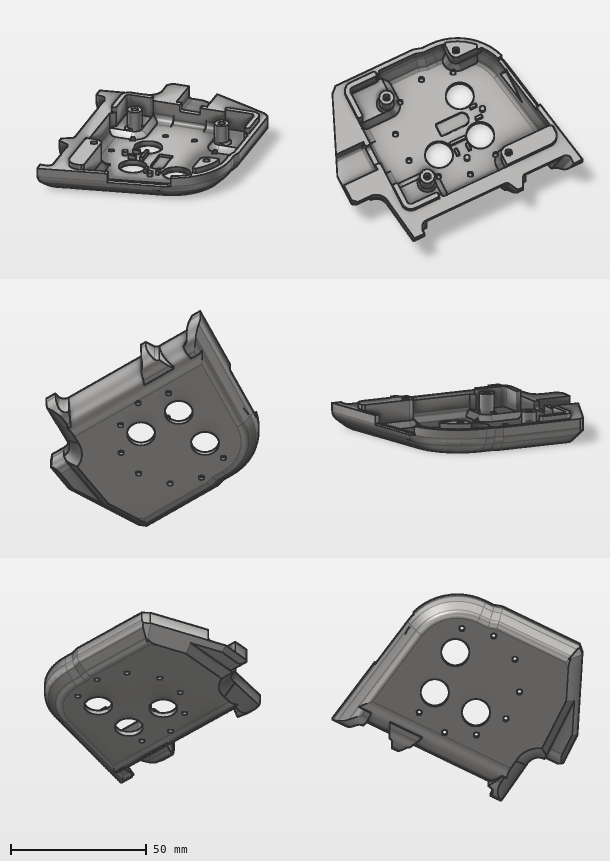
import cadquery as cq
import math

RIM_Z = 9.95
PAD_TOP_Z = 12.0
FLOOR_Z = 2.0
SHELF_Z = 4.2
CLIP_TOP_Z = 3.5

LENGTH_Y = 83.7
RIGHT_X = 66.0
LOWER_RIGHT_X = 65.1
JOG_LOW_Y = 34.2
JOG_HIGH_Y = 37.4
CORNER_RADIUS = 22.9
BOTTOM_SLOPE = math.radians(10)
SLANT_RIGHT = (63.8, 71.7)
SLANT_TOP_X = 35.6
RIGHT_CORNER_Y = 69.45
EDGE_CHAMFER = 5
EDGE_ROUND = 4.0

WALL_X = 4.35
EAR_EDGE_RADIUS = 7.95
EAR_ROOT_X = 10
REAR_EAR_Y = 65.2
REAR_EAR_RADIUS = 3.0
MIDDLE_EAR_TIP_FRONT_Y = 24.5
MIDDLE_EAR_TIP_REAR_Y = 26.7
MIDDLE_EAR_BEND = (4.0, 28.8)
MIDDLE_EAR_REAR_Y = 29.6
MIDDLE_EAR_FRONT_Y = 21.3
MIDDLE_EAR_ARC_END = (3.35, 23.0)
MIDDLE_EAR_RADIUS = 2.0
MIDDLE_EAR_SPREAD = 2.5
FRONT_EAR_Y = 3.6
FRONT_EAR_RADIUS = 2.1
FRONT_EAR_LEAN = 5.35

TAB_X = 21.9
TAB_CORNER = 1.75
TAB_BOTTOM_Z = 3.0
TAB_RISE_Y = 73.6
TAB_INNER_RADIUS = 4.85
TAB_ROUND = 5
SHOULDER_Y = 69.4
SHOULDER_SLOPE = math.radians(8)
SHOULDER_CHAMFER = 4.7

AXIS_X = 36
CHANNEL_WIDTH = 12.0
CHANNEL_END_Y = 69.8
CHANNEL_Z = 5
CHANNEL_ROUND = 1.0
NOTCH_WIDTH = 7.95
NOTCH_Z = 7.1
NOTCH_ROUND = 0.8

WALL = 1.8
POCKET_LEFT_X = 9.9
POCKET_RIGHT_X = RIGHT_X - WALL
POCKET_TOP_Y = 67.8
POCKET_CHAMFER = 3.6
POCKET_SLOPE_ROUND = 2.2
POCKET_ROUND = 3.1
RECESS_WIDTH = 12.9
RECESS_ROUND = 1.6
SLOPE_RELIEF = ((27.6, 44.85), (9.4, 15.1), (3.7, 6.7))

RIM_CUT_LEFT_X = 26.0
RIM_CUT_RIGHT_X = 49.4
RIM_CUT_Z = 6.9
RIM_CUT_SLOPE = 0.6

POST_D = 5.4
POST_DX = 17.1
POST_Y = 54.7
POST_FOOT = 0.9
SCREW_D = 2.5
SCREW_DEPTH = 7.5
SKIRT_RUN = 2.35
PAD_WIDTH = 2.0
PAD_END_Y = 54.0
PAD_OUTER_RADIUS = 3.5
PAD_END_RADIUS = 0.9
PAD_TIP_RADIUS = 0.5
PAD_WEB_LENGTH = 1.7
PAD_SCREW_Y = 23.6
PAD_REAR_Y = PAD_SCREW_Y + POST_D / 2
LEFT_SCREW_X = 14.0
LEFT_PAD_Y = 4.3
LEFT_PAD_RADIUS = 4.0
RIGHT_SCREW_X = 58.15
RIGHT_PAD_LEFT_Y = 16.1
RIGHT_PAD_REAR_X = 62.1
RIGHT_PAD_ARC_START = (62.5, 25.8)
RIGHT_PAD_ARC_END = (56.7, 15.7)

CLIP_TAB_LENGTH = 2.6
CLIP_TAB_WIDTH = 1.1
CLIP_TAB_SPACING = 4.8
SIDE_CLIP_X = 21.4
SIDE_CLIP_Y = 37.1
SIDE_CLIP_TAB_START = 2.35
FRONT_CLIP_TAB_START = 1.3
STOP_BAR = ((28.4, 29.45), (33.9, 40.5), (FLOOR_Z, CLIP_TOP_Z))

SMALL_D = 2.0
SMALL_HOLES = [(5.7, 56.65), (16.1, 49.6), (20.5, 38.65), (17.8, 26.85)]
WINDOW_D = 10.4
WINDOW_DX = 8.5
WINDOW_REAR_Y = 45.7
WINDOW_FRONT_Y = 28.7
SLOT_WIDTH = 5.2
SLOT_FRONT_Y = 29.5
SLOT_REAR_Y = 41.75
SLOT_DEPTH = 1.0
SLOT_FRONT_RADIUS = 2.35
SLOT_REAR_RADIUS = 0.6

REACH = 2 * LENGTH_Y
MARGIN = 0.8
LEVEL_TOLERANCE = 0.1


def slab(points, low_z, high_z):
    """Prism on a polygon in plan."""
    return cq.Workplane("XY", origin=(0, 0, low_z)).polyline(points).close().extrude(high_z - low_z)


def block(x_range, y_range, z_range):
    """Box given by its limits along each axis."""
    lows, highs = zip(x_range, y_range, z_range)
    sizes = [high - low for low, high in zip(lows, highs)]
    return cq.Workplane("XY").box(*sizes, centered=False).translate(lows)


def pin(x, y, diameter, low_z, high_z):
    return cq.Workplane("XY", origin=(x, y, low_z)).circle(diameter / 2).extrude(high_z - low_z)


def plan_outline(inset, top_points):
    """Closed outline: sloping lower edge, big corner, stepped right side, then `top_points`."""
    radius = CORNER_RADIUS - inset
    center_x = LOWER_RIGHT_X - CORNER_RADIUS
    tangent_x = center_x + radius * math.sin(BOTTOM_SLOPE)
    center_y = (
        (center_x + CORNER_RADIUS * math.sin(BOTTOM_SLOPE)) * math.tan(BOTTOM_SLOPE)
        + CORNER_RADIUS * math.cos(BOTTOM_SLOPE)
    )
    tangent_y = center_y - radius * math.cos(BOTTOM_SLOPE)
    middle = (BOTTOM_SLOPE - math.pi / 2) / 2
    outline = (
        cq.Workplane("XY")
        .moveTo(0, tangent_y - tangent_x * math.tan(BOTTOM_SLOPE))
        .lineTo(tangent_x, tangent_y)
        .threePointArc(
            (center_x + radius * math.cos(middle), center_y + radius * math.sin(middle)),
            (center_x + radius, center_y),
        )
        .lineTo(LOWER_RIGHT_X - inset, JOG_LOW_Y)
        .lineTo(RIGHT_X - inset, JOG_HIGH_Y)
    )
    for point in top_points:
        outline = outline.lineTo(*point)
    return outline.close()


def left_profile(start_x, radius):
    """Everything right of a wall whose lower edge is rounded."""
    return (
        cq.Workplane("XZ")
        .moveTo(start_x, PAD_TOP_Z)
        .lineTo(start_x, radius)
        .radiusArc((start_x + radius, 0), -radius)
        .lineTo(RIGHT_X, 0)
        .lineTo(RIGHT_X, PAD_TOP_Z)
        .close()
        .extrude(-REACH)
    )


def low_edges(solid, max_y, max_z):
    """Level edges low on a solid, apart from those along its left side."""
    low_box = cq.selectors.BoxSelector(
        (MARGIN, -MARGIN, -MARGIN), (RIGHT_X + MARGIN, max_y, max_z + LEVEL_TOLERANCE)
    )
    level = [edge for edge in solid.edges(low_box).vals() if edge.BoundingBox().zlen < LEVEL_TOLERANCE]
    return solid.newObject(level)


def make_envelope():
    """Outer block with chamfered and rounded lower edges, before its left side is shaped."""
    top_points = [
        (RIGHT_X, RIGHT_CORNER_Y),
        SLANT_RIGHT,
        (SLANT_TOP_X, LENGTH_Y),
        (0, LENGTH_Y),
    ]
    envelope = plan_outline(0, top_points).extrude(RIM_Z)
    envelope = low_edges(envelope, REACH, 0).chamfer(EDGE_CHAMFER)
    return low_edges(envelope, RIGHT_CORNER_Y + MARGIN, EDGE_CHAMFER).fillet(EDGE_ROUND)


def cut_left_shoulder(body):
    """Remove the corner left of the rear tab, behind a sloping shoulder."""
    slope = math.tan(SHOULDER_SLOPE)
    center_x = TAB_X - TAB_INNER_RADIUS
    center_y = SHOULDER_Y + center_x * slope + TAB_INNER_RADIUS / math.cos(SHOULDER_SLOPE)
    middle = (SHOULDER_SLOPE - math.pi / 2) / 2

    def on_arc(angle):
        return (
            center_x + TAB_INNER_RADIUS * math.cos(angle),
            center_y + TAB_INNER_RADIUS * math.sin(angle),
        )

    corner = (
        cq.Workplane("XY")
        .moveTo(-MARGIN, SHOULDER_Y - MARGIN * slope)
        .lineTo(*on_arc(2 * middle))
        .threePointArc(on_arc(middle), on_arc(0))
        .lineTo(TAB_X, LENGTH_Y - TAB_CORNER)
        .lineTo(TAB_X + TAB_CORNER, LENGTH_Y)
        .lineTo(TAB_X, LENGTH_Y + MARGIN)
        .lineTo(-MARGIN, LENGTH_Y + MARGIN)
        .close()
        .extrude(RIM_Z)
    )
    shoulder_chamfer = (
        cq.Workplane("YZ", origin=(-EDGE_CHAMFER, 0, 0))
        .polyline([(-SHOULDER_CHAMFER, 0), (0, SHOULDER_CHAMFER), (REACH, SHOULDER_CHAMFER), (REACH, 0)])
        .close()
        .extrude(EDGE_CHAMFER + center_x)
        .rotate((0, 0, 0), (0, 0, 1), math.degrees(SHOULDER_SLOPE))
        .translate((0, SHOULDER_Y, 0))
    )
    bend_chamfer = cq.Workplane(
        cq.Solid.makeCone(
            TAB_INNER_RADIUS + SHOULDER_CHAMFER,
            TAB_INNER_RADIUS,
            SHOULDER_CHAMFER,
            pnt=cq.Vector(center_x, center_y, 0),
        )
    )
    outside_tab = block((0, RIGHT_X), (center_y, REACH), (TAB_BOTTOM_Z, RIM_Z)).cut(
        left_profile(TAB_X, TAB_ROUND).translate((0, 0, TAB_BOTTOM_Z))
    )
    return body.cut(corner).cut(shoulder_chamfer).cut(bend_chamfer).cut(outside_tab)


def cut_under_tab(body):
    """Raise the underside below the rear tab, with a 45 degree step."""
    under = (
        cq.Workplane("YZ")
        .polyline([
            (TAB_RISE_Y, 0),
            (TAB_RISE_Y + TAB_BOTTOM_Z, TAB_BOTTOM_Z),
            (REACH, TAB_BOTTOM_Z),
            (REACH, 0),
        ])
        .close()
        .extrude(REACH)
    )
    return body.cut(under)


def make_ears():
    """Full-height blocks for the three ears on the left wall; the front one leans along Y."""
    rear = (
        cq.Workplane("XY")
        .moveTo(0, REAR_EAR_Y)
        .lineTo(WALL_X - REAR_EAR_RADIUS, REAR_EAR_Y)
        .radiusArc((WALL_X, REAR_EAR_Y - REAR_EAR_RADIUS), REAR_EAR_RADIUS)
        .lineTo(EAR_ROOT_X, REAR_EAR_Y)
        .lineTo(EAR_ROOT_X, LENGTH_Y)
        .lineTo(0, LENGTH_Y)
        .close()
        .extrude(RIM_Z)
    )
    middle = (
        cq.Workplane("XY")
        .moveTo(0, MIDDLE_EAR_TIP_FRONT_Y)
        .lineTo(0, MIDDLE_EAR_TIP_REAR_Y)
        .lineTo(*MIDDLE_EAR_BEND)
        .lineTo(WALL_X, MIDDLE_EAR_REAR_Y)
        .lineTo(EAR_ROOT_X, MIDDLE_EAR_REAR_Y + MIDDLE_EAR_SPREAD)
        .lineTo(EAR_ROOT_X, MIDDLE_EAR_FRONT_Y - MIDDLE_EAR_SPREAD)
        .lineTo(WALL_X, MIDDLE_EAR_FRONT_Y)
        .radiusArc(MIDDLE_EAR_ARC_END, -MIDDLE_EAR_RADIUS)
        .close()
        .extrude(RIM_Z)
    )
    front_plan = (
        cq.Workplane("XY", origin=(0, FRONT_EAR_LEAN, 0))
        .moveTo(0, FRONT_EAR_Y)
        .lineTo(WALL_X - FRONT_EAR_RADIUS, FRONT_EAR_Y)
        .radiusArc((WALL_X, FRONT_EAR_Y + FRONT_EAR_RADIUS), -FRONT_EAR_RADIUS)
        .lineTo(EAR_ROOT_X, FRONT_EAR_Y + FRONT_EAR_RADIUS)
        .lineTo(EAR_ROOT_X, -LENGTH_Y)
        .lineTo(0, -LENGTH_Y)
        .close()
    )
    lean = cq.Vector(0, -FRONT_EAR_LEAN, RIM_Z)
    front = cq.Workplane(cq.Solid.extrudeLinear(front_plan.wires().val(), [], lean))
    return rear.union(middle).union(front)


def make_outer_body():
    envelope = make_envelope()
    core = envelope.intersect(left_profile(WALL_X, RIM_Z))
    ears = envelope.intersect(left_profile(0, EAR_EDGE_RADIUS)).intersect(make_ears())
    return cut_under_tab(cut_left_shoulder(core.union(ears)))


def make_pocket():
    """Open space inside the rim, before shelves and pads fill parts of it."""
    top_points = [(POCKET_RIGHT_X, LENGTH_Y), (0, LENGTH_Y)]
    sloped = plan_outline(WALL, top_points).extrude(PAD_TOP_Z).translate((0, 0, FLOOR_Z))
    sloped = low_edges(sloped, POCKET_TOP_Y, FLOOR_Z).chamfer(POCKET_CHAMFER)
    sloped = low_edges(sloped, POCKET_TOP_Y, FLOOR_Z + POCKET_CHAMFER).fillet(POCKET_SLOPE_ROUND)
    rounded = block((POCKET_LEFT_X, POCKET_RIGHT_X), (0, POCKET_TOP_Y), (FLOOR_Z, PAD_TOP_Z))
    rounded = rounded.edges("|Z and >Y").fillet(PAD_OUTER_RADIUS)
    rounded = rounded.edges("<Z").edges("<X or >Y").fillet(POCKET_ROUND)
    recess = block(
        (AXIS_X - RECESS_WIDTH / 2, AXIS_X + RECESS_WIDTH / 2),
        (POCKET_TOP_Y - 2 * POCKET_ROUND, POCKET_TOP_Y),
        (FLOOR_Z, SHELF_Z + POCKET_ROUND),
    )
    recess = recess.edges("<Z and >Y").fillet(RECESS_ROUND)
    return sloped.intersect(rounded).union(recess)


def corner_island(screw_x, screw_y, side_x, side_y, top_z):
    """Raised corner area rounded about a screw, with a sloping skirt down to the floor.

    It reaches from the screw toward side_x and side_y.
    """
    radius = POST_D / 2
    sign_x = math.copysign(1, side_x - screw_x)
    sign_y = math.copysign(1, side_y - screw_y)
    edge_x = screw_x - sign_x * radius
    edge_y = screw_y - sign_y * radius
    diagonal = radius * math.sqrt(0.5)
    plan = (
        cq.Workplane("XY", origin=(0, 0, SHELF_Z))
        .moveTo(edge_x, side_y)
        .lineTo(edge_x, screw_y)
        .threePointArc((screw_x - sign_x * diagonal, screw_y - sign_y * diagonal), (screw_x, edge_y))
        .lineTo(side_x, edge_y)
        .lineTo(side_x, side_y)
        .close()
    )
    skirt_angle = math.degrees(math.atan(SKIRT_RUN / (SHELF_Z - FLOOR_Z)))
    island = plan.extrude(FLOOR_Z - SHELF_Z, taper=-skirt_angle)
    if top_z > SHELF_Z:
        island = island.faces(">Z").wires().toPending().extrude(top_z - SHELF_Z)
    return island


def corner_pad(outer_x, end_x):
    """Rounded L-shaped wall in a rear corner, from the shelf to above the rim."""
    sign = math.copysign(1, end_x - outer_x)
    inner_x = outer_x + sign * PAD_WIDTH
    inner_y = POCKET_TOP_Y - PAD_WIDTH
    inner_bend = PAD_OUTER_RADIUS - PAD_WIDTH
    pad = (
        cq.Workplane("XY", origin=(0, 0, SHELF_Z))
        .moveTo(outer_x, PAD_END_Y)
        .lineTo(outer_x, POCKET_TOP_Y - PAD_OUTER_RADIUS)
        .radiusArc((outer_x + sign * PAD_OUTER_RADIUS, POCKET_TOP_Y), sign * PAD_OUTER_RADIUS)
        .lineTo(end_x, POCKET_TOP_Y)
        .lineTo(end_x, inner_y)
        .lineTo(inner_x + sign * inner_bend, inner_y)
        .radiusArc((inner_x, inner_y - inner_bend), -sign * inner_bend)
        .lineTo(inner_x, PAD_END_Y)
        .close()
        .extrude(PAD_TOP_Z - SHELF_Z)
    )
    free_end = ">X" if sign > 0 else "<X"
    pad = pad.edges("|Z and <Y").fillet(PAD_END_RADIUS)
    return pad.edges(f"|Z and {free_end}").fillet(PAD_TIP_RADIUS)


def front_left_pad():
    right_x = LEFT_SCREW_X + POST_D / 2
    return (
        cq.Workplane("XY", origin=(0, 0, SHELF_Z))
        .moveTo(POCKET_LEFT_X, LEFT_PAD_Y + LEFT_PAD_RADIUS)
        .lineTo(POCKET_LEFT_X, PAD_REAR_Y)
        .lineTo(LEFT_SCREW_X, PAD_REAR_Y)
        .radiusArc((right_x, PAD_SCREW_Y), POST_D / 2)
        .lineTo(right_x, LEFT_PAD_Y + PAD_END_RADIUS)
        .lineTo(right_x - PAD_END_RADIUS, LEFT_PAD_Y)
        .lineTo(POCKET_LEFT_X + LEFT_PAD_RADIUS, LEFT_PAD_Y)
        .radiusArc((POCKET_LEFT_X, LEFT_PAD_Y + LEFT_PAD_RADIUS), LEFT_PAD_RADIUS)
        .close()
        .extrude(PAD_TOP_Z - SHELF_Z)
    )


def front_right_pad():
    left_x = RIGHT_SCREW_X - POST_D / 2
    return (
        cq.Workplane("XY", origin=(0, 0, SHELF_Z))
        .moveTo(left_x, RIGHT_PAD_LEFT_Y)
        .lineTo(left_x, PAD_SCREW_Y)
        .radiusArc((RIGHT_SCREW_X, PAD_REAR_Y), POST_D / 2)
        .lineTo(RIGHT_PAD_REAR_X, PAD_REAR_Y)
        .lineTo(*RIGHT_PAD_ARC_START)
        .radiusArc(RIGHT_PAD_ARC_END, CORNER_RADIUS - WALL)
        .close()
        .extrude(PAD_TOP_Z - SHELF_Z)
    )


def post(x, side_x):
    """Screw post whose conical foot stays on the shelf toward side_x."""
    foot = cq.Workplane(
        cq.Solid.makeCone(
            POST_D / 2 + POST_FOOT, POST_D / 2, POST_FOOT, pnt=cq.Vector(x, POST_Y, SHELF_Z)
        )
    )
    foot = foot.intersect(corner_island(x, POST_Y, side_x, LENGTH_Y, RIM_Z))
    return pin(x, POST_Y, POST_D, SHELF_Z, PAD_TOP_Z).union(foot)


def pad_end_web(outer_x, sign):
    """Triangular web that carries the end of a corner pad into the side wall."""
    return slab(
        [
            (outer_x, PAD_END_Y - PAD_WEB_LENGTH),
            (outer_x + sign * PAD_WIDTH, PAD_END_Y),
            (outer_x, PAD_END_Y),
        ],
        SHELF_Z,
        RIM_Z,
    )


def cut_rear_notch(body):
    """Channel along the rear tab and a narrower notch from it into the pocket."""
    channel = block(
        (AXIS_X - CHANNEL_WIDTH / 2, AXIS_X + CHANNEL_WIDTH / 2),
        (CHANNEL_END_Y, LENGTH_Y + CHANNEL_WIDTH),
        (CHANNEL_Z, PAD_TOP_Z),
    )
    channel = channel.edges("<Z").edges("|Y or <Y").fillet(CHANNEL_ROUND)
    notch = block(
        (AXIS_X - NOTCH_WIDTH / 2, AXIS_X + NOTCH_WIDTH / 2),
        (POCKET_TOP_Y - WALL, CHANNEL_END_Y + WALL),
        (NOTCH_Z, PAD_TOP_Z),
    )
    notch = notch.edges("<Z and |Y").fillet(NOTCH_ROUND)
    return body.cut(channel).cut(notch)


def cut_front_rim(body):
    """Lowered stretch of the front rim, sloping down along its outer edge."""
    start = RIM_CUT_LEFT_X / math.cos(BOTTOM_SLOPE)
    end = RIM_CUT_RIGHT_X / math.cos(BOTTOM_SLOPE)
    lowered = (
        cq.Workplane("YZ", origin=(start, 0, 0))
        .polyline([
            (0, RIM_CUT_Z - RIM_CUT_SLOPE),
            (RIM_CUT_SLOPE, RIM_CUT_Z),
            (2 * WALL, RIM_CUT_Z),
            (2 * WALL, PAD_TOP_Z),
            (-WALL, PAD_TOP_Z),
            (-WALL, RIM_CUT_Z - RIM_CUT_SLOPE),
        ])
        .close()
        .extrude(end - start)
        .rotate((0, 0, 0), (0, 0, 1), math.degrees(BOTTOM_SLOPE))
    )
    return body.cut(lowered)


def clip(pin_x, pin_y, tab_start, angle):
    """Locating pin and two tabs beyond it; `angle` is the direction from pin to tabs."""
    tab_x = tab_start + CLIP_TAB_LENGTH / 2
    tabs = (
        cq.Workplane("XY", origin=(0, 0, FLOOR_Z))
        .pushPoints([(tab_x, CLIP_TAB_SPACING / 2), (tab_x, -CLIP_TAB_SPACING / 2)])
        .rect(CLIP_TAB_LENGTH, CLIP_TAB_WIDTH)
        .extrude(CLIP_TOP_Z - FLOOR_Z)
    )
    parts = tabs.union(pin(0, 0, SMALL_D, FLOOR_Z, CLIP_TOP_Z))
    return parts.rotate((0, 0, 0), (0, 0, 1), angle).translate((pin_x, pin_y, 0))


def floor_openings():
    """Three large windows, the mirrored small holes and a shallow slot."""
    openings = pin(AXIS_X - WINDOW_DX, WINDOW_REAR_Y, WINDOW_D, 0, FLOOR_Z)
    for side in (-1, 1):
        openings = openings.union(pin(AXIS_X + side * WINDOW_DX, WINDOW_FRONT_Y, WINDOW_D, 0, FLOOR_Z))
        for offset_x, y in SMALL_HOLES:
            openings = openings.union(pin(AXIS_X + side * offset_x, y, SMALL_D, 0, RIM_Z))
    slot = (
        block(
            (AXIS_X - SLOT_WIDTH / 2, AXIS_X + SLOT_WIDTH / 2),
            (SLOT_FRONT_Y, SLOT_REAR_Y),
            (FLOOR_Z - SLOT_DEPTH, FLOOR_Z),
        )
        .edges("|Z and <Y").fillet(SLOT_FRONT_RADIUS)
        .edges("|Z and >Y").fillet(SLOT_REAR_RADIUS)
    )
    return openings.union(slot)


pocket = make_pocket()
islands = [
    corner_island(AXIS_X - POST_DX, POST_Y, 0, LENGTH_Y, SHELF_Z),
    corner_island(AXIS_X + POST_DX, POST_Y, RIGHT_X, LENGTH_Y, SHELF_Z),
    corner_island(LEFT_SCREW_X, PAD_SCREW_Y, 0, 0, RIM_Z),
    corner_island(RIGHT_SCREW_X, PAD_SCREW_Y, RIGHT_X, 0, RIM_Z),
]
for island in islands:
    pocket = pocket.cut(island)
body = make_outer_body().cut(pocket)

raised_parts = [
    corner_pad(POCKET_LEFT_X, AXIS_X - POST_DX + POST_D / 2),
    corner_pad(POCKET_RIGHT_X, AXIS_X + POST_DX - POST_D / 2),
    front_left_pad(),
    front_right_pad(),
    post(AXIS_X - POST_DX, 0),
    post(AXIS_X + POST_DX, RIGHT_X),
    pad_end_web(POCKET_LEFT_X, 1),
    pad_end_web(POCKET_RIGHT_X, -1),
    clip(SIDE_CLIP_X, SIDE_CLIP_Y, SIDE_CLIP_TAB_START, 0),
    clip(AXIS_X, PAD_SCREW_Y, FRONT_CLIP_TAB_START, 90),
    block(*STOP_BAR),
]
for part in raised_parts:
    body = body.union(part)

body = cut_front_rim(cut_rear_notch(body))
body = body.cut(block(*SLOPE_RELIEF))
body = body.cut(floor_openings())
screws = [
    (AXIS_X - POST_DX, POST_Y),
    (AXIS_X + POST_DX, POST_Y),
    (LEFT_SCREW_X, PAD_SCREW_Y),
    (RIGHT_SCREW_X, PAD_SCREW_Y),
]
for x, y in screws:
    body = body.cut(pin(x, y, SCREW_D, PAD_TOP_Z - SCREW_DEPTH, PAD_TOP_Z))

result = body